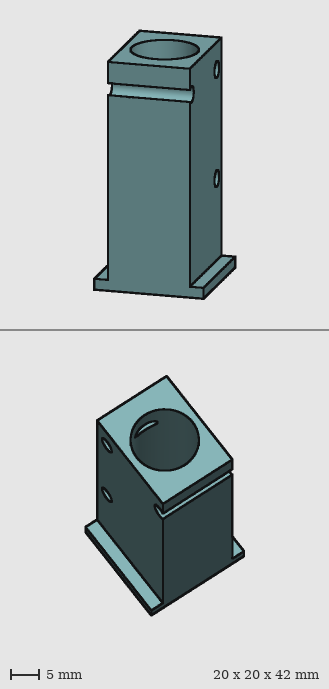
import cadquery as cq

height = 42.0
depth = 20.0
base_width = 20.0
base_thickness = 2.0
body_width = 15.0

bore_diameter = 12.0

cross_diameter = 3.0
rear_hole_inset = 3.0
groove_inset = 1.0
upper_hole_drop = 5.0
hole_spacing = 20.0

rear_y = depth / 2 - rear_hole_inset
groove_y = -depth / 2 + groove_inset
upper_z = height - upper_hole_drop
lower_z = upper_z - hole_spacing


def block(width, block_height):
    """Box centred on the Z axis, standing on the bottom plane."""
    return cq.Workplane("XY").box(width, depth, block_height, centered=(True, True, False))


result = block(base_width, base_thickness).union(block(body_width, height))

bore = cq.Workplane("XY").circle(bore_diameter / 2).extrude(height)
result = result.cut(bore)

cross_axes = [(rear_y, upper_z), (rear_y, lower_z), (groove_y, upper_z)]
cross_holes = (
    cq.Workplane("YZ")
    .pushPoints(cross_axes)
    .circle(cross_diameter / 2)
    .extrude(body_width, both=True)
)
result = result.cut(cross_holes)